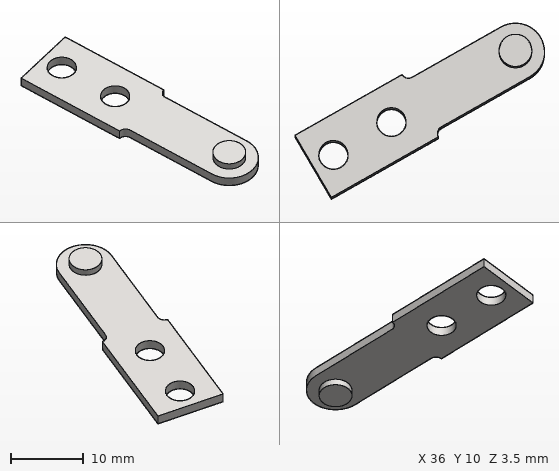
import cadquery as cq
import math

length = 36.02
wide_width = 10.0
narrow_width = 8.0
thickness = 1.48
wide_length = 16.95

hole_diameter = 4.0
hole_positions = [3.2, 12.4]

pin_diameter = 4.5
pin_height = 3.5

half_wide = wide_width / 2
tip_radius = narrow_width / 2
tip_center = length - tip_radius
step_radius = half_wide - tip_radius
step_end = wide_length + step_radius
arc_offset = step_radius * math.sqrt(0.5)


def make_strip():
    """Flat strip with concave steps to a narrow, round-ended arm."""
    arc_middle_x = step_end - arc_offset
    arc_middle_y = half_wide - arc_offset
    return (
        cq.Workplane("XY")
        .workplane(offset=-thickness / 2)
        .moveTo(0, -half_wide)
        .lineTo(wide_length, -half_wide)
        .threePointArc((arc_middle_x, -arc_middle_y), (step_end, -tip_radius))
        .lineTo(tip_center, -tip_radius)
        .threePointArc((length, 0), (tip_center, tip_radius))
        .lineTo(step_end, tip_radius)
        .threePointArc((arc_middle_x, arc_middle_y), (wide_length, half_wide))
        .lineTo(0, half_wide)
        .close()
        .extrude(thickness)
    )


def make_holes():
    """Cylinders that cut the mounting holes through the strip."""
    return (
        cq.Workplane("XY")
        .pushPoints([(x, 0) for x in hole_positions])
        .circle(hole_diameter / 2)
        .extrude(thickness, both=True)
    )


def make_pin():
    """Pin concentric with the rounded end, standing out on both faces."""
    return (
        cq.Workplane("XY")
        .center(tip_center, 0)
        .circle(pin_diameter / 2)
        .extrude(pin_height / 2, both=True)
    )


result = make_strip().cut(make_holes()).union(make_pin())